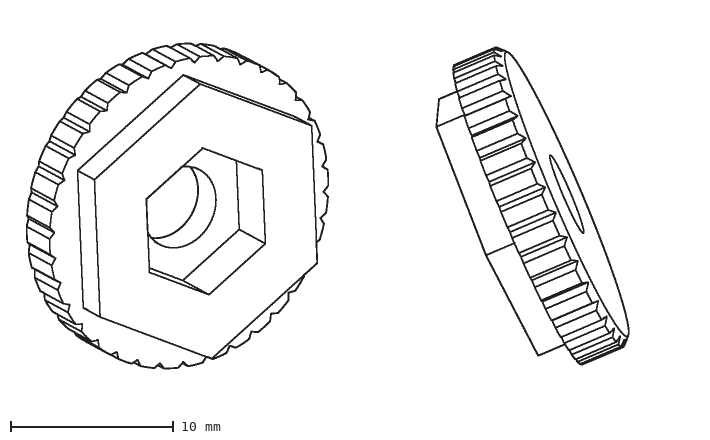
import cadquery as cq
import math

RIM_DIAMETER = 20.0
RIM_THICKNESS = 3.25
TOTAL_THICKNESS = 5.25
RIM_CHAMFER = 0.5

GROOVE_COUNT = 36
GROOVE_DEPTH = 0.35
GROOVE_ANGLE = 94.0

HEX_ACROSS_FLATS = 15.6
BORE_DIAMETER = 5.2
BORE_LENGTH = 2.15
POCKET_ACROSS_FLATS = 8.32

TURN = 2.6

RIM_RADIUS = RIM_DIAMETER / 2
HEX_HEIGHT = TOTAL_THICKNESS - RIM_THICKNESS
POCKET_DEPTH = TOTAL_THICKNESS - BORE_LENGTH


def hex_prism(start, length, across_flats):
    """Hexagonal prism along X with one corner at the turn angle from +Z."""
    corner_diameter = across_flats / math.cos(math.radians(30))
    return (
        cq.Workplane("YZ", origin=(start, 0, 0))
        .polygon(6, corner_diameter)
        .extrude(length)
        .rotate((0, 0, 0), (1, 0, 0), 90 + TURN)
    )


def knurl_grooves():
    """V grooves along X, spaced evenly so that one tooth is centred on the turn angle."""
    pitch = 360 / GROOVE_COUNT
    root = RIM_RADIUS - GROOVE_DEPTH
    mouth = RIM_RADIUS + GROOVE_DEPTH
    half_width = (mouth - root) * math.tan(math.radians(GROOVE_ANGLE / 2))
    groove = (
        cq.Workplane("YZ")
        .polyline([(0, root), (half_width, mouth), (-half_width, mouth)])
        .close()
        .extrude(RIM_THICKNESS)
    )
    grooves = cq.Workplane("YZ")
    for index in range(GROOVE_COUNT):
        angle = TURN + (index + 0.5) * pitch
        grooves.add(groove.rotate((0, 0, 0), (1, 0, 0), angle))
    return grooves.combine()


rim = cq.Workplane("YZ").circle(RIM_RADIUS).extrude(RIM_THICKNESS)
rim = rim.faces("<X").chamfer(RIM_CHAMFER)
rim = rim.cut(knurl_grooves())

body = rim.union(hex_prism(RIM_THICKNESS, HEX_HEIGHT, HEX_ACROSS_FLATS))

bore = cq.Workplane("YZ").circle(BORE_DIAMETER / 2).extrude(BORE_LENGTH)
pocket = hex_prism(BORE_LENGTH, POCKET_DEPTH, POCKET_ACROSS_FLATS)

result = body.cut(bore).cut(pocket)